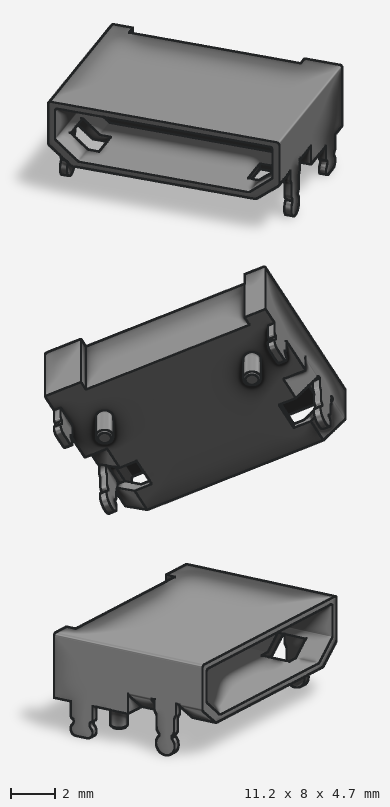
import cadquery as cq
import math

width = 11.2
depth = 8.0
total_height = 4.7
leg_drop = 1.6
body_height = total_height - leg_drop
half_width = width / 2
top_edge_radius = 0.15

front_depth = depth / 2
chamfer_width = 1.13
chamfer_height = 0.91
bend_radius = 0.17

side_wall = 0.35
roof = 0.29
floor = 0.29
cavity_chamfer_width = 1.12
cavity_chamfer_height = 0.92
cavity_corner_radius = 0.11

left_tab_width = 1.06
right_tab_width = 1.84
notch_depth = 0.49

front_leg_y = 2.0
opening_length = 1.5
opening_reach = 1.99
opening_top = 0.97

front_head_top = 1.03
front_head_half = 0.58
front_shaft_half = 0.47
shoulder_top = 0.49
shoulder_height = 0.32
front_shaft_end = -0.36
front_taper_half = 0.35
front_taper_end = -0.62
front_neck_half = 0.32
front_neck_z = -0.67
front_foot_radius = 0.5
front_foot_joint_half = 0.38

rear_leg_y = 6.51
rear_leg_top = 0.24
rear_shaft_half = 0.58
rear_shaft_end = -0.68
rear_taper_half = 0.46
rear_taper_end = -0.82
rear_neck_half = 0.44
rear_neck_z = -0.87
rear_foot_half = 0.59
rear_foot_radius = 0.3
rear_foot_joint_half = 0.49

peg_diameter = 0.8
peg_inset = 1.86
peg_x = half_width - peg_inset
peg_y = 5.69
peg_length = 1.5
peg_chamfer = 0.1


def chamfered_profile(half, bottom, top, corner_width, corner_height):
    """Closed front outline with the two lower corners cut off."""
    points = [
        (-half, top),
        (half, top),
        (half, bottom + corner_height),
        (half - corner_width, bottom),
        (-half + corner_width, bottom),
        (-half, bottom + corner_height),
    ]
    return cq.Workplane("XZ").polyline(points).close()


def make_body():
    front = chamfered_profile(half_width, 0, body_height, chamfer_width, chamfer_height)
    front = front.extrude(-front_depth)
    side_bends = cq.selectors.BoxSelector(
        (-width, 0, chamfer_height - bend_radius),
        (width, front_depth, chamfer_height + bend_radius),
    )
    front = front.edges("|Y").edges(side_bends).fillet(bend_radius)
    rear = cq.Workplane("XY").box(
        width, depth - front_depth, body_height, centered=(True, False, False)
    ).translate((0, front_depth, 0))
    return front.union(rear).edges("|Y and >Z").fillet(top_edge_radius)


def make_cavity():
    cavity = chamfered_profile(
        half_width - side_wall,
        floor,
        body_height - roof,
        cavity_chamfer_width,
        cavity_chamfer_height,
    )
    return cavity.extrude(-front_depth).edges("|Y").fillet(cavity_corner_radius)


def make_rear_notch():
    notch_width = width - left_tab_width - right_tab_width
    notch = cq.Workplane("XY").box(notch_width, notch_depth, body_height, centered=False)
    return notch.translate((left_tab_width - half_width, depth - notch_depth, 0))


def make_corner_opening(side):
    return cq.Workplane("XY").box(
        opening_reach, opening_length, opening_top, centered=(True, True, False)
    ).translate((side * (half_width - opening_reach / 2), front_leg_y, 0))


def tangent_radius(inset, drop):
    """Radius of an arc that leaves a vertical edge smoothly and moves in by inset over drop."""
    return (inset**2 + drop**2) / (2 * inset)


def leg_neck(shaft, shaft_end, taper_end, neck, joint, foot_z):
    """Continue half a leg outline from its shaft through the neck into the foot."""
    taper_radius = tangent_radius(shaft_end[0] - taper_end[0], shaft_end[1] - taper_end[1])
    return (
        shaft.lineTo(*shaft_end)
        .radiusArc(taper_end, taper_radius)
        .threePointArc(neck, joint)
        .lineTo(0, foot_z)
        .close()
    )


def leg_solid(half_outline, foot_outline, side, leg_y):
    """Mirror half a leg, add its foot and set it into a side wall (-1 left, 1 right)."""
    half_plate = half_outline.extrude(side_wall)
    foot = foot_outline.extrude(side_wall)
    leg = half_plate.union(half_plate.mirror("XZ")).union(foot)
    start_x = half_width - side_wall if side > 0 else -half_width
    return leg.translate((start_x, leg_y, 0))


def make_front_leg(side):
    foot_z = front_foot_radius - leg_drop
    joint_z = foot_z + math.sqrt(front_foot_radius**2 - front_foot_joint_half**2)
    shoulder_mid = (front_head_half + front_shaft_half) / 2
    shoulder_radius = tangent_radius(front_head_half - shoulder_mid, shoulder_height / 2)
    shaft = (
        cq.Workplane("YZ")
        .moveTo(0, front_head_top)
        .lineTo(front_head_half, front_head_top)
        .lineTo(front_head_half, shoulder_top)
        .radiusArc((shoulder_mid, shoulder_top - shoulder_height / 2), shoulder_radius)
        .radiusArc((front_shaft_half, shoulder_top - shoulder_height), -shoulder_radius)
    )
    outline = leg_neck(
        shaft,
        shaft_end=(front_shaft_half, front_shaft_end),
        taper_end=(front_taper_half, front_taper_end),
        neck=(front_neck_half, front_neck_z),
        joint=(front_foot_joint_half, joint_z),
        foot_z=foot_z,
    )
    foot = cq.Workplane("YZ").center(0, foot_z).circle(front_foot_radius)
    return leg_solid(outline, foot, side, front_leg_y)


def make_rear_leg(side):
    foot_z = rear_foot_radius - leg_drop
    joint_offset = rear_foot_joint_half - (rear_foot_half - rear_foot_radius)
    joint_z = foot_z + math.sqrt(rear_foot_radius**2 - joint_offset**2)
    shaft = cq.Workplane("YZ").moveTo(0, rear_leg_top).lineTo(rear_shaft_half, rear_leg_top)
    outline = leg_neck(
        shaft,
        shaft_end=(rear_shaft_half, rear_shaft_end),
        taper_end=(rear_taper_half, rear_taper_end),
        neck=(rear_neck_half, rear_neck_z),
        joint=(rear_foot_joint_half, joint_z),
        foot_z=foot_z,
    )
    foot = cq.Workplane("YZ").center(0, foot_z).slot2D(2 * rear_foot_half, 2 * rear_foot_radius)
    return leg_solid(outline, foot, side, rear_leg_y)


def make_peg(side):
    peg = cq.Workplane("XY").circle(peg_diameter / 2).extrude(-peg_length)
    return peg.faces("<Z").chamfer(peg_chamfer).translate((side * peg_x, peg_y, 0))


result = make_body().cut(make_cavity()).cut(make_rear_notch())
for side in (-1, 1):
    result = result.cut(make_corner_opening(side))
    result = result.union(make_front_leg(side))
    result = result.union(make_rear_leg(side))
    result = result.union(make_peg(side))